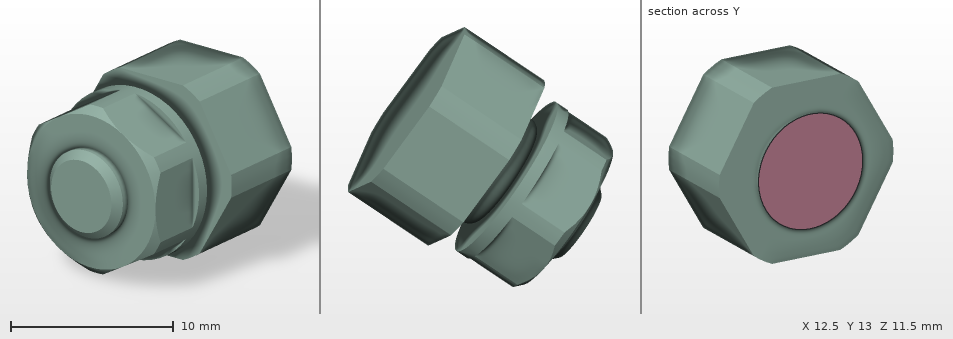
import cadquery as cq
import math

head_across_flats = 11.5
head_corner_diameter = 12.5
head_length = 6.0

ring_outer_diameter = 7.6
ring_thickness = 1.5

nut_across_flats = 10.0
nut_corner_diameter = 11.0
nut_length = 4.5
flange_thickness = 0.8

stud_diameter = 5.7
tip_length = 1.0
tip_chamfer = 0.5

head_back = head_length
flange_back = -ring_thickness
nut_front = flange_back - nut_length
tip_front = nut_front - tip_length


def cylinder(diameter, y_front, y_back):
    """Round bar about the Y axis between two stations."""
    return (
        cq.Workplane("XZ", origin=(0, y_back, 0))
        .circle(diameter / 2)
        .extrude(y_back - y_front)
    )


def hexagon_bar(across_flats, y_front, y_back, turn=0):
    """Hexagonal bar about the Y axis; at zero turn its corners lie on X."""
    across_corners = across_flats / math.cos(math.pi / 6)
    return (
        cq.Workplane("XZ", origin=(0, y_back, 0))
        .polygon(6, across_corners)
        .extrude(y_back - y_front)
        .rotate((0, 0, 0), (0, 1, 0), turn)
    )


def make_head():
    """Hexagonal head, flats on top and bottom, with rounded corners."""
    corner_round = cylinder(head_corner_diameter, 0, head_back)
    return hexagon_bar(head_across_flats, 0, head_back).intersect(corner_round)


def make_sealing_ring():
    """O-ring between head and flange: half-round rim, filled in to the axis."""
    section_radius = ring_thickness / 2
    outer_radius = ring_outer_diameter / 2
    rim_start_radius = outer_radius - section_radius
    return (
        cq.Workplane("XY")
        .lineTo(rim_start_radius, 0)
        .threePointArc((outer_radius, -section_radius), (rim_start_radius, flange_back))
        .lineTo(0, flange_back)
        .close()
        .revolve(360, (0, 0, 0), (0, 1, 0))
    )


def make_nut():
    """Round flange with a hexagon, flats on the X sides, chamfered at its front face."""
    nut_chamfer = (nut_corner_diameter - nut_across_flats) / 2
    envelope = (
        cylinder(nut_corner_diameter, nut_front, flange_back)
        .faces("<Y")
        .chamfer(nut_chamfer)
    )
    flange_front = flange_back - flange_thickness
    hexagon = hexagon_bar(nut_across_flats, nut_front, flange_front, turn=30)
    flange = cylinder(nut_corner_diameter, flange_front, flange_back)
    return hexagon.intersect(envelope).union(flange)


def make_stud():
    """Stud joining head, ring and nut, ending in a chamfered tip."""
    return cylinder(stud_diameter, tip_front, head_back).faces("<Y").chamfer(tip_chamfer)


result = make_stud().union(make_head()).union(make_sealing_ring()).union(make_nut())